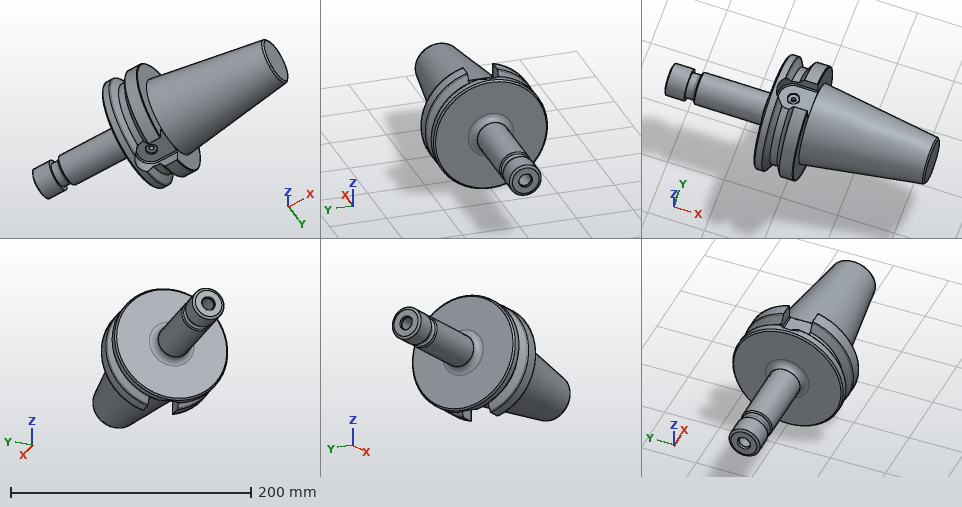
import cadquery as cq
import math

total_length = 231.7
head_end = 17.5
neck_fillet_start = 23.9
shaft_start = 25.7
flange_start = 91.5
groove_floor_start = 103.5
groove_floor_end = 109.8
flange_end = 126.5

shaft_radius = 28.0 / 2
neck_radius = 22.0 / 2
flange_radius = 100.0 / 2
groove_radius = 42.6
taper_large_radius = 35.5
taper_ratio = 7 / 24
taper_small_radius = taper_large_radius - (total_length - flange_end) * taper_ratio / 2
shaft_fillet_radius = 5.8
root_radius = 27.8 / 2
shaft_end = flange_start - shaft_fillet_radius
neck_fillet_radius = shaft_start - neck_fillet_start

head_chamfer_length = 1.2
head_chamfer_height = 2.3
shaft_chamfer = 1.2
flange_chamfer = 1.5
groove_edge_chamfer = 1.0
rear_chamfer = 0.7
taper_chamfer = 1.5

groove_edge_radius = flange_radius - groove_edge_chamfer
groove_wall_length = (groove_edge_radius - groove_radius) * math.tan(math.radians(30))
front_wall_start = groove_floor_start - groove_wall_length
rear_wall_end = groove_floor_end + groove_wall_length

bore_mouth_radius = 11.8 / 2
bore_radius = 11.0 / 2
bore_mouth_depth = 2.5
bore_depth = 23.2

slot_width = 26.2
slot_arc_x = 108.5
slot_floor = 35.5
slot_floor_chamfer = 1.2
seat_x = 109.4
seat_diameter = 10.0
seat_depth = 2.0
seat_hole_diameter = 4.0
seat_hole_depth = 7.0


def turned_body():
    """Nose, shaft, grooved flange and taper revolved about X."""
    corner = math.sqrt(0.5)
    neck_mid = (
        neck_fillet_start + neck_fillet_radius * corner,
        neck_radius + neck_fillet_radius * (1 - corner),
    )
    root_mid = (
        shaft_end + shaft_fillet_radius * corner,
        root_radius + shaft_fillet_radius * (1 - corner),
    )
    profile = (
        cq.Workplane("XY")
        .moveTo(0, 0)
        .lineTo(0, shaft_radius - head_chamfer_height)
        .lineTo(head_chamfer_length, shaft_radius)
        .lineTo(head_end, shaft_radius)
        .lineTo(head_end, neck_radius)
        .lineTo(neck_fillet_start, neck_radius)
        .threePointArc(neck_mid, (shaft_start, neck_radius + neck_fillet_radius))
        .lineTo(shaft_start + shaft_chamfer, shaft_radius)
        .lineTo(shaft_end, shaft_radius)
        .lineTo(shaft_end, root_radius)
        .threePointArc(root_mid, (flange_start, root_radius + shaft_fillet_radius))
        .lineTo(flange_start, flange_radius - flange_chamfer)
        .lineTo(flange_start + flange_chamfer, flange_radius)
        .lineTo(front_wall_start - groove_edge_chamfer, flange_radius)
        .lineTo(front_wall_start, groove_edge_radius)
        .lineTo(groove_floor_start, groove_radius)
        .lineTo(groove_floor_end, groove_radius)
        .lineTo(rear_wall_end, groove_edge_radius)
        .lineTo(rear_wall_end + groove_edge_chamfer, flange_radius)
        .lineTo(flange_end - rear_chamfer, flange_radius)
        .lineTo(flange_end, flange_radius - rear_chamfer)
        .lineTo(flange_end, taper_large_radius)
        .lineTo(total_length - taper_chamfer, taper_small_radius + taper_chamfer * taper_ratio / 2)
        .lineTo(total_length, taper_small_radius - taper_chamfer)
        .lineTo(total_length, 0)
        .close()
    )
    return profile.revolve(360, (0, 0, 0), (1, 0, 0))


def nose_bore():
    """Blind stepped bore in the nose."""
    bore = cq.Workplane("YZ").circle(bore_radius).extrude(bore_depth)
    mouth = cq.Workplane("YZ").circle(bore_mouth_radius).extrude(bore_mouth_depth)
    return bore.union(mouth)


def drive_slot():
    """Round-ended +Z slot open to the taper side, with a stepped hole in its floor."""
    height = flange_radius - slot_floor
    length = flange_end - slot_arc_x
    round_end = cq.Workplane("XY").center(slot_arc_x, 0).circle(slot_width / 2).extrude(height)
    straight = (
        cq.Workplane("XY")
        .center(slot_arc_x + length, 0)
        .rect(2 * length, slot_width)
        .extrude(height)
    )
    slot = round_end.union(straight).faces("<Z").chamfer(slot_floor_chamfer)
    trim = (
        cq.Workplane("XY")
        .center(slot_arc_x, 0)
        .rect(2 * length, 2 * slot_width)
        .extrude(height)
    )
    slot = slot.intersect(trim).translate((0, 0, slot_floor))
    floor = cq.Workplane("XY", origin=(seat_x, 0, slot_floor))
    seat = floor.circle(seat_diameter / 2).extrude(-seat_depth)
    hole = floor.circle(seat_hole_diameter / 2).extrude(-seat_hole_depth)
    return slot.union(seat).union(hole)


result = turned_body().cut(nose_bore())
for angle in (0, 180):
    result = result.cut(drive_slot().rotate((0, 0, 0), (1, 0, 0), angle))